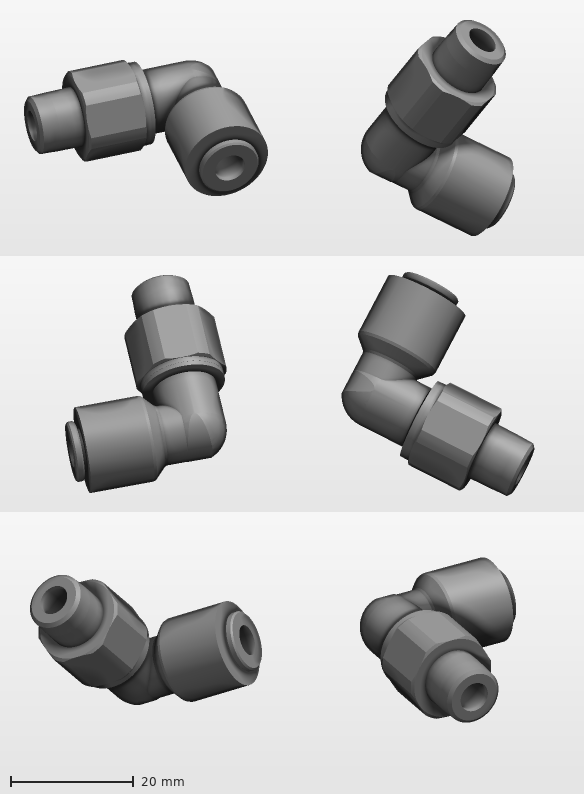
import cadquery as cq
import math


body_radius = 5.3
body_end = 7.92
crown_height = 4.9

branch_radius = crown_height
cone_flare_start = 5.42
cone_start = 5.85
cone_start_radius = 5.1
cone_end = 7.6
collar_start = 8.1
collar_end = 18.6
collar_radius = 7.1
shoulder_radius = 6.93
release_neck_radius = 3.6
release_flange_start = 19.15
release_flange_radius = 4.97
flange_chamfer = 0.27
branch_end = 20.48

stem_neck_radius = 3.9
washer_start = 8.25
washer_split = 9.0
nut_start = 9.85
nut_end = 19.75
stem_end = 27.2
washer_radius = 6.9
washer_rim_radius = 6.85

nut_across_flats = 14.0
nut_corner_radius = 7.5
nut_face_radius = nut_across_flats / 2
nut_chamfer = 0.27

thread_gauge = 23.95
thread_chamfer_start = 26.72
thread_root_radius = 4.97
thread_gauge_radius = 4.9
thread_tip_radius = 4.8
thread_face_radius = 4.2

bore_radius = 2.55
bore_tip_height = 2.5


def along_branch(points):
    """Revolve (distance, radius) points about the X axis."""
    return cq.Workplane("XY").polyline(points).close().revolve(360, (0, 0, 0), (1, 0, 0))


def along_stem(points):
    """Revolve (distance, radius) points about the Y axis, with distance toward -Y."""
    profile = [(radius, -distance) for distance, radius in points]
    return cq.Workplane("XY").polyline(profile).close().revolve(360, (0, 0, 0), (0, 1, 0))


def stem_cylinder(start, end, radius):
    return along_stem([(start, 0), (start, radius), (end, radius), (end, 0)])


def elbow_dome(radius, height):
    """Half ball above the branch axis, trimmed by a lowered cylinder along X."""
    trim_drop = radius - height
    trim_radius = math.hypot(radius, trim_drop)
    trim_centre = height - trim_radius
    ball = cq.Workplane("XY").sphere(radius)
    upper_half = cq.Workplane("XY").box(2 * radius, radius, 2 * radius).translate((0, radius / 2, 0))
    trim = (
        cq.Workplane("YZ").center(trim_centre, 0).circle(trim_radius).extrude(radius, both=True)
    )
    return ball.intersect(upper_half).intersect(trim)


def make_branch():
    return along_branch([
        (0, 0),
        (0, branch_radius),
        (cone_flare_start, branch_radius),
        (cone_start, cone_start_radius),
        (cone_end, shoulder_radius),
        (collar_start, collar_radius),
        (collar_end, collar_radius),
        (collar_end, release_neck_radius),
        (release_flange_start, release_neck_radius),
        (release_flange_start, release_flange_radius - flange_chamfer),
        (release_flange_start + flange_chamfer, release_flange_radius),
        (branch_end - flange_chamfer, release_flange_radius),
        (branch_end, release_flange_radius - flange_chamfer),
        (branch_end, 0),
    ])


def make_nut():
    hexagon_diameter = nut_across_flats / math.cos(math.pi / 6)
    hexagon = (
        cq.Workplane("XZ", origin=(0, -nut_start, 0))
        .polygon(6, hexagon_diameter)
        .extrude(nut_end - nut_start)
    )
    turned_blank = along_stem([
        (nut_start, 0),
        (nut_start, nut_face_radius),
        (nut_start + nut_chamfer, nut_corner_radius),
        (nut_end - nut_chamfer, nut_corner_radius),
        (nut_end, nut_face_radius),
        (nut_end, 0),
    ])
    return hexagon.intersect(turned_blank)


def make_thread():
    return along_stem([
        (nut_end, 0),
        (nut_end, thread_root_radius),
        (thread_gauge, thread_gauge_radius),
        (thread_chamfer_start, thread_tip_radius),
        (stem_end, thread_face_radius),
        (stem_end, 0),
    ])


def bore_profile(end):
    """Bore with its conical point beyond the crossing of the axes."""
    return [(-bore_tip_height, 0), (0, bore_radius), (end, bore_radius), (end, 0)]


def make_passage():
    stem_bore = along_stem(bore_profile(stem_end))
    branch_bore = along_branch(bore_profile(branch_end))
    return stem_bore.union(branch_bore)


body = stem_cylinder(0, body_end, body_radius).union(elbow_dome(body_radius, crown_height))
stem_neck = stem_cylinder(body_end, washer_start, stem_neck_radius)
washer = stem_cylinder(washer_start, washer_split, washer_rim_radius)
washer = washer.union(stem_cylinder(washer_split, nut_start, washer_radius))

result = body.union(make_branch()).union(stem_neck).union(washer)
result = result.union(make_nut()).union(make_thread()).cut(make_passage())